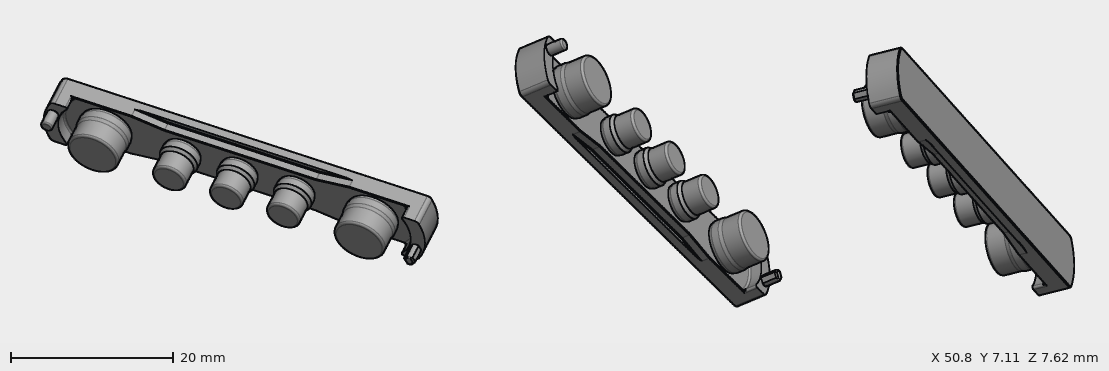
import cadquery as cq
import math

length = 50.8
height = 7.62
plate_thickness = 2.54
leg_depth = 4.318
button_depth = 7.11
back_chamfer = 0.13
plate_front_chamfer = 0.1

end_radius = 7.62
end_center_x = length / 2 - end_radius
end_corner_radius = 0.72
leg_inner_radius = 5.7
leg_tip_radius = 0.25
leg_root_radius = 0.25

relief_depth = 0.66
relief_root_chamfer = 0.12
relief_back = 1.27
relief_half_length = 14.5
relief_flat_half_length = 10.1

large_button = (3.36, 3.48, 3.36)
small_button = (2.22, 2.52, 2.40)
large_button_x = 17.74
small_button_pitch = 7.59
collar_start = 2.95
collar_end = 3.95
body_start = 4.45
button_tip_fillet = 0.3

pin_x = 24.16
pin_z = 1.6
pin_radius = 0.762
pin_depth = 6.5
pin_tip_fillet = 0.2
diamond_flank_angle = 60


def front_plane(depth=0.0):
    """XZ sketch plane facing -Y, set the given depth in front of the back face."""
    return cq.Workplane("XZ", origin=(0, -depth, 0))


def make_bar(depth):
    """Bar of the given depth with arc-shaped ends and blended corners."""
    half_height = height / 2
    arc_end_x = end_center_x + math.sqrt(end_radius**2 - half_height**2)
    bar = (
        front_plane()
        .moveTo(-arc_end_x, -half_height)
        .lineTo(arc_end_x, -half_height)
        .threePointArc((length / 2, 0), (arc_end_x, half_height))
        .lineTo(-arc_end_x, half_height)
        .threePointArc((-length / 2, 0), (-arc_end_x, -half_height))
        .close()
        .extrude(depth)
    )
    bar = bar.edges("|Y").fillet(end_corner_radius)
    return bar.faces(">Y").edges().chamfer(back_chamfer)


def make_relief(end):
    """Tapered-end relief cutter for the top (end = 1) or bottom (end = -1) edge."""
    outer_z = end * height / 2
    inner_z = end * (height / 2 - relief_depth)
    clear_z = end * height
    cutter = (
        front_plane(relief_back)
        .polyline([
            (-relief_half_length, clear_z),
            (-relief_half_length, outer_z),
            (-relief_flat_half_length, inner_z),
            (relief_flat_half_length, inner_z),
            (relief_half_length, outer_z),
            (relief_half_length, clear_z),
        ])
        .close()
        .extrude(plate_thickness)
    )
    return cutter.faces(">Y").edges().chamfer(relief_root_chamfer)


def make_plate():
    """Thin plate with relieved long edges and a chamfered front rim."""
    plate = make_bar(plate_thickness)
    for end in (-1, 1):
        plate = plate.cut(make_relief(end))
    return plate.faces("<Y").edges().chamfer(plate_front_chamfer)


def make_leg_gap():
    """Cutter for the space between the legs: a long box with a disc at each end."""
    gap = front_plane().rect(2 * end_center_x, 2 * height).extrude(leg_depth)
    for side in (-1, 1):
        disc = front_plane().center(side * end_center_x, 0).circle(leg_inner_radius)
        gap = gap.union(disc.extrude(leg_depth))
    return gap


def make_legs():
    """Pair of full-depth end legs with arc-shaped inner walls and rounded tips."""
    legs = make_bar(leg_depth).cut(make_leg_gap())
    tip_x = end_center_x + math.sqrt(leg_inner_radius**2 - (height / 2) ** 2)
    for side in (-1, 1):
        for end in (-1, 1):
            tip = (side * tip_x, -leg_depth / 2, end * height / 2)
            legs = legs.edges(cq.NearestToPointSelector(tip)).fillet(leg_tip_radius)
    return legs


def make_leg_root(side):
    """Concave blend between the plate face and the inner wall of one leg."""
    blend_start = plate_thickness + leg_root_radius
    inner_radius = leg_inner_radius - leg_root_radius
    outer_radius = leg_inner_radius + 2 * leg_tip_radius
    blend_middle = leg_root_radius * (1 - math.sqrt(0.5))
    profile = (
        cq.Workplane("XY")
        .moveTo(inner_radius, -plate_thickness)
        .threePointArc(
            (leg_inner_radius - blend_middle, -plate_thickness - blend_middle),
            (leg_inner_radius, -blend_start),
        )
        .lineTo(outer_radius, -blend_start)
        .lineTo(outer_radius, -relief_back)
        .lineTo(inner_radius, -relief_back)
        .close()
    )
    ring = profile.revolve(360, (0, 0), (0, 1)).translate((side * end_center_x, 0, 0))
    flat_height = height - 2 * plate_front_chamfer
    outer_half = cq.Workplane("XY").box(end_radius, leg_depth * 2, flat_height)
    outer_half = outer_half.translate((side * (end_center_x + end_radius / 2), -leg_depth, 0))
    return ring.intersect(outer_half)


def make_button(x, radii):
    """Round button with a collar near its root and a rounded tip, rooted inside the plate."""
    body_radius, collar_radius, root_radius = radii
    profile = [
        (0, -relief_back),
        (root_radius, -relief_back),
        (root_radius, -plate_thickness),
        (collar_radius, -collar_start),
        (collar_radius, -collar_end),
        (body_radius, -body_start),
        (body_radius, -button_depth),
        (0, -button_depth),
    ]
    button = cq.Workplane("XY").polyline(profile).close().revolve(360, (0, 0), (0, 1))
    return button.faces("<Y").edges().fillet(button_tip_fillet).translate((x, 0, 0))


def make_round_pin():
    """Round pin on the Y axis, starting at the plate face, with a rounded tip."""
    pin = front_plane(plate_thickness).circle(pin_radius).extrude(pin_depth - plate_thickness)
    return pin.faces("<Y").edges().fillet(pin_tip_fillet)


def make_diamond_pin():
    """Round pin narrowed by four slanted flats that meet on its X axis."""
    flank_height = pin_radius * math.tan(math.radians(diamond_flank_angle))
    flanks = (
        front_plane(plate_thickness)
        .polyline([(pin_radius, 0), (0, flank_height), (-pin_radius, 0), (0, -flank_height)])
        .close()
        .extrude(pin_depth - plate_thickness)
    )
    flanks = flanks.faces("<Y").edges().chamfer(pin_tip_fillet)
    return make_round_pin().intersect(flanks)


result = make_plate().union(make_legs())
for side in (-1, 1):
    result = result.union(make_leg_root(side))
    result = result.union(make_button(side * large_button_x, large_button))
for index in (-1, 0, 1):
    result = result.union(make_button(index * small_button_pitch, small_button))
result = result.union(make_round_pin().translate((-pin_x, 0, pin_z)))
result = result.union(make_diamond_pin().translate((pin_x, 0, -pin_z)))